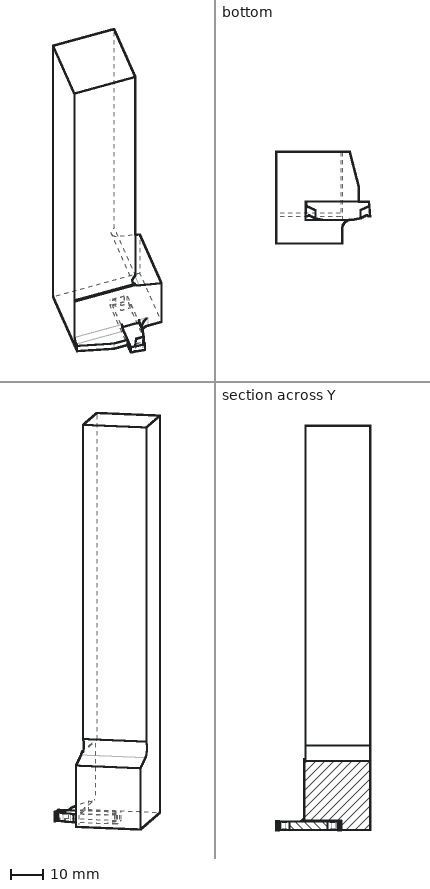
import cadquery as cq
import math

shank_size = 20.0
holder_height = 124.85
head_depth = 28.4
head_side_offset = 0.4
head_side_x = shank_size + head_side_offset
head_side_height = 22.0

shoulder_edge_z = 19.3
shoulder_angle = math.radians(15)
groove_radius = 2.8
groove_start_y = 21.1

insert_length = 20.0
insert_tip_x = 29.04
insert_rear_x = insert_tip_x - insert_length
insert_mid_x = insert_tip_x - insert_length / 2
insert_width = 2.65
insert_bottom_y = 15.5
insert_top_y = 21.1
edge_y = 20.0
edge_overhang = 0.15
front_relief_angle = math.radians(5)
land_length = 0.5
chip_groove_y = 19.65
chip_groove_back = 1.1
chip_ramp_back = 1.7
chip_shoulder_back = 2.9
chip_shoulder_y = 20.6
top_flat_back = 5.3
tip_back = 3.05
tip_corner_y = 18.1
tip_front_y = 16.7
side_relief_x = 0.08
side_relief_y = 0.05
cutter_size = 40.0

blade_width = insert_width
blade_root_radius = 1.5
support_x = 25.55
support_taper_y = 11.0
support_foot_x = 22.7
jaw_radius = 2.85
jaw_root_y = 23.9


def box(x_range, y_range, z_range):
    sizes = [high - low for low, high in (x_range, y_range, z_range)]
    corner = (x_range[0], y_range[0], z_range[0])
    return cq.Workplane("XY").box(*sizes, centered=False).translate(corner)


def make_shank_and_head():
    """Side outline in YZ with the shoulder and groove, plus the proud side of the head."""
    slope = math.tan(shoulder_angle)
    groove_start_z = shoulder_edge_z + (head_depth - groove_start_y) * slope
    center_y = groove_start_y + groove_radius * math.sin(shoulder_angle)
    center_z = groove_start_z + groove_radius * math.cos(shoulder_angle)
    groove_end_z = center_z + math.sqrt(groove_radius**2 - (center_y - shank_size) ** 2)
    outline = (
        cq.Workplane("YZ")
        .lineTo(head_depth, 0)
        .lineTo(head_depth, shoulder_edge_z)
        .lineTo(groove_start_y, groove_start_z)
        .threePointArc((center_y - groove_radius, center_z), (shank_size, groove_end_z))
        .lineTo(shank_size, holder_height)
        .lineTo(0, holder_height)
        .close()
    )
    body = outline.extrude(head_side_x)
    side_cut = box(
        (shank_size, head_side_x), (0, head_depth), (head_side_height, holder_height)
    )
    return body.cut(side_cut)


def make_blade():
    """Blade beside the head: lower support and upper jaw, with a concave root at the head."""
    jaw_center_x = head_side_x + jaw_radius
    jaw_end_x = jaw_center_x - math.sqrt(jaw_radius**2 - (jaw_root_y - insert_top_y) ** 2)
    jaw_mid_offset = jaw_radius * math.sqrt(0.5)
    root_top_z = blade_width + blade_root_radius
    outline = (
        cq.Workplane("XY")
        .moveTo(shank_size, 0)
        .lineTo(support_foot_x, 0)
        .lineTo(support_x, support_taper_y)
        .lineTo(support_x, insert_top_y)
        .lineTo(jaw_end_x, insert_top_y)
        .threePointArc(
            (jaw_center_x - jaw_mid_offset, jaw_root_y - jaw_mid_offset),
            (head_side_x, jaw_root_y),
        )
        .lineTo(shank_size, jaw_root_y)
        .close()
    )
    blade = outline.extrude(root_top_z)
    root_center_x = head_side_x + blade_root_radius
    above_blade = box((root_center_x, support_x), (0, head_depth), (blade_width, root_top_z))
    root_round = (
        cq.Workplane("XZ")
        .center(root_center_x, root_top_z)
        .circle(blade_root_radius)
        .extrude(-head_depth)
    )
    return blade.cut(above_blade).cut(root_round)


def make_insert_seat():
    """Pocket for the insert, open below inside the head and open above outside it."""
    y_range = (insert_bottom_y, insert_top_y)
    inside_head = box(
        (insert_rear_x, head_side_x), y_range, (0, insert_width + edge_overhang)
    )
    outside_head = box(
        (head_side_x, insert_tip_x), y_range, (0, blade_width + blade_root_radius)
    )
    return inside_head.union(outside_head)


def make_insert_half():
    """Half of the insert from its middle to the +X cutting edge."""
    relief_run = (edge_y - insert_bottom_y) * math.tan(front_relief_angle)
    profile = cq.Workplane("XY").polyline(
        [
            (insert_mid_x, insert_bottom_y),
            (insert_tip_x - relief_run, insert_bottom_y),
            (insert_tip_x, edge_y),
            (insert_tip_x - land_length, edge_y),
            (insert_tip_x - chip_groove_back, chip_groove_y),
            (insert_tip_x - chip_ramp_back, edge_y),
            (insert_tip_x - chip_shoulder_back, chip_shoulder_y),
            (insert_tip_x - top_flat_back, insert_top_y),
            (insert_mid_x, insert_top_y),
        ]
    ).close()
    full_width = insert_width + 2 * edge_overhang
    blank = profile.extrude(full_width).translate((0, 0, -edge_overhang))

    tip_back_x = insert_tip_x - tip_back
    tip_zone = (
        cq.Workplane("XY")
        .workplane(offset=-edge_overhang)
        .polyline(
            [
                (tip_back_x, insert_top_y),
                (tip_back_x, tip_corner_y),
                (insert_tip_x, tip_front_y),
                (insert_tip_x, insert_top_y),
            ]
        )
        .close()
        .extrude(full_width)
    )
    flat_body = box(
        (insert_mid_x, insert_tip_x), (insert_bottom_y, insert_top_y), (0, insert_width)
    )
    body = blank.intersect(flat_body).cut(tip_zone)

    tip = blank.intersect(tip_zone)
    for corner_z, side in ((insert_width + edge_overhang, 1), (-edge_overhang, -1)):
        side_plane = cq.Plane(
            origin=(insert_tip_x, edge_y, corner_z),
            xDir=(1, 0, side * side_relief_x),
            normal=(-side_relief_x, -side_relief_y, side),
        )
        tip = tip.cut(cq.Workplane(side_plane).rect(cutter_size, cutter_size).extrude(cutter_size))
    return body.union(tip)


def make_insert():
    half = make_insert_half()
    return half.union(half.mirror("YZ", (insert_mid_x, 0, 0)))


holder = make_shank_and_head().union(make_blade()).cut(make_insert_seat())
insert = make_insert()

result = cq.Compound.makeCompound([holder.val(), insert.val()])